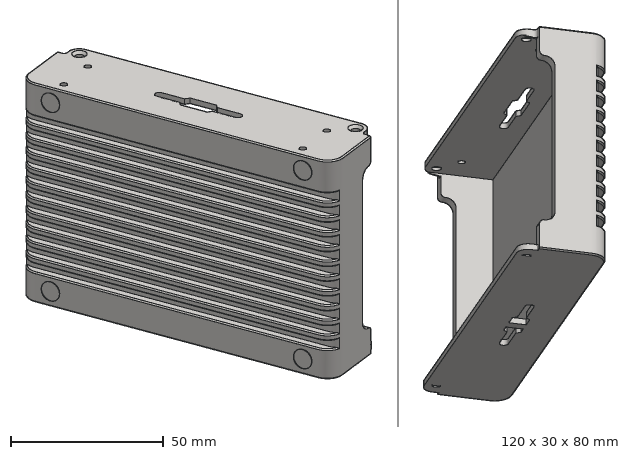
import cadquery as cq

WIDTH = 120.0
DEPTH = 30.0
HEIGHT = 80.0
EDGE_CHAMFER = 0.5
CORNER_RADIUS = 6.0

FRONT_WALL = 6.0
SIDE_WALL = 4.0
END_PLATE = 2.0
SHOULDER_Y = 23.8

LIP_RADIUS = 4.0
TOP_LIP_WIDTH = 113.3
TOP_LIP_ROOT_RADIUS = 1.2
TOP_LIP_ROOT_THICKNESS = 3.0
BOTTOM_LIP_WIDTH = 116.4

WINDOW_MARGIN = 10.5
WINDOW_FLOOR_Y = 18.5
WINDOW_INNER_RADIUS = 3.6
WINDOW_OUTER_RADIUS = 1.5

GROOVE_COUNT = 11
GROOVE_PITCH = 5.4
GROOVE_WIDTH = 3.0
GROOVE_DEPTH = 3.0
GROOVE_CENTRE_Z = -0.5
GROOVE_FLAT_INSET = 3.7
GROOVE_END_RADIUS = 5.4
FIN_CHAMFER = 0.5

FOOT_RADIUS = 3.5
FOOT_DEPTH = 0.2
FOOT_INSET_X = 11.9
FOOT_INSET_Z = 5.5

SCREW_INSET_X = 7.3
SCREW_Y = DEPTH - 3.8
SCREW_RADIUS = 1.5
SCREW_HEAD_RADIUS = 2.5
SCREW_FLAT_INSET = 7.0

PIN_RADIUS = 1.2
PIN_INSET_X = 14.4
REAR_PIN_Y = 19.7
FRONT_PIN_Y = 4.5
FRONT_PIN_DEPTH = 6.0
PIN_TIP_HEIGHT = 0.7

SLOT_Y = 14.2
SLOT_LENGTH = 33.0
SLOT_HEIGHT = 3.0
SLOT_WIDE_HEIGHT = 5.9
SLOT_WIDE_LENGTH = 10.1
SLOT_TAPER = 1.2
BRIDGE_WIDTH = 3.5
BRIDGE_X = 0.7

HALF_WIDTH = WIDTH / 2
HALF_HEIGHT = HEIGHT / 2
SIDES = (-1, 1)
MARGIN = 0.1


def block(x_range, y_range, z_range):
    """Box given by its limits along each axis."""
    limits = (x_range, y_range, z_range)
    size = [high - low for low, high in limits]
    corner = tuple(low for low, high in limits)
    return cq.Workplane("XY").box(*size, centered=False).translate(corner)


def make_body():
    """Block with rounded front corners and chamfered end edges."""
    body = block((-HALF_WIDTH, HALF_WIDTH), (0, SHOULDER_Y), (-HALF_HEIGHT, HALF_HEIGHT))
    body = body.edges("|Z and <Y").fillet(CORNER_RADIUS)
    outline = body.faces("<Z or >Z").edges("not >Y")
    return outline.chamfer(EDGE_CHAMFER)


def make_groove(z):
    """Material outside the groove floor, whose ends curve back to the sides."""
    z_range = (z - GROOVE_WIDTH / 2, z + GROOVE_WIDTH / 2)
    reach = HALF_WIDTH - GROOVE_FLAT_INSET + GROOVE_END_RADIUS
    back = GROOVE_DEPTH + GROOVE_END_RADIUS
    floor = block((-reach, reach), (GROOVE_DEPTH, DEPTH), z_range)
    floor = floor.edges("|Z and <Y").fillet(GROOVE_END_RADIUS)
    return block((-reach, reach), (-MARGIN, back), z_range).cut(floor)


def cut_grooves(body):
    """Cut the evenly spaced grooves and chamfer the front edges of the fins."""
    first = GROOVE_CENTRE_Z - GROOVE_PITCH * (GROOVE_COUNT - 1) / 2
    for i in range(GROOVE_COUNT):
        body = body.cut(make_groove(first + i * GROOVE_PITCH))
    half_band = GROOVE_PITCH * GROOVE_COUNT / 2
    front_edges = cq.selectors.BoxSelector(
        (-HALF_WIDTH - MARGIN, -MARGIN, GROOVE_CENTRE_Z - half_band),
        (HALF_WIDTH + MARGIN, GROOVE_DEPTH - MARGIN, GROOVE_CENTRE_Z + half_band),
    )
    fins = body.edges(front_edges).edges("not |Z")
    return fins.chamfer(FIN_CHAMFER)


def cut_cavity(body):
    """Hollow the body from the rear, leaving end plates of even thickness."""
    inner = HALF_WIDTH - SIDE_WALL
    half = HALF_HEIGHT - END_PLATE
    return body.cut(block((-inner, inner), (FRONT_WALL, DEPTH), (-half, half)))


def cut_windows(body):
    """Notch the rear edge of both side walls."""
    half = HALF_HEIGHT - WINDOW_MARGIN
    window = block((-HALF_WIDTH, HALF_WIDTH), (WINDOW_FLOOR_Y, SHOULDER_Y), (-half, half))
    window = window.edges("|X and <Y").fillet(WINDOW_INNER_RADIUS)
    body = body.cut(window)
    mouth = cq.selectors.BoxSelector(
        (-HALF_WIDTH - MARGIN, SHOULDER_Y - MARGIN, -half - MARGIN),
        (HALF_WIDTH + MARGIN, SHOULDER_Y + MARGIN, half + MARGIN),
    )
    return body.edges(mouth).edges("|X").fillet(WINDOW_OUTER_RADIUS)


def make_top_lip():
    """Rear lip of the top plate: tapered underside, filleted into the shoulders."""
    half = TOP_LIP_WIDTH / 2
    root = half + TOP_LIP_ROOT_RADIUS
    outline = (
        cq.Workplane("XY")
        .moveTo(-root, SHOULDER_Y)
        .radiusArc((-half, SHOULDER_Y + TOP_LIP_ROOT_RADIUS), -TOP_LIP_ROOT_RADIUS)
        .lineTo(-half, DEPTH - LIP_RADIUS)
        .radiusArc((-half + LIP_RADIUS, DEPTH), LIP_RADIUS)
        .lineTo(half - LIP_RADIUS, DEPTH)
        .radiusArc((half, DEPTH - LIP_RADIUS), LIP_RADIUS)
        .lineTo(half, SHOULDER_Y + TOP_LIP_ROOT_RADIUS)
        .radiusArc((root, SHOULDER_Y), -TOP_LIP_ROOT_RADIUS)
        .close()
        .extrude(HALF_HEIGHT)
    )
    taper = (
        cq.Workplane("YZ")
        .moveTo(SHOULDER_Y, HALF_HEIGHT)
        .lineTo(DEPTH, HALF_HEIGHT)
        .lineTo(DEPTH, HALF_HEIGHT - END_PLATE)
        .lineTo(SHOULDER_Y, HALF_HEIGHT - TOP_LIP_ROOT_THICKNESS)
        .close()
        .extrude(HALF_WIDTH, both=True)
    )
    return outline.intersect(taper)


def make_bottom_lip():
    half = BOTTOM_LIP_WIDTH / 2
    z_range = (-HALF_HEIGHT, -HALF_HEIGHT + END_PLATE)
    lip = block((-half, half), (SHOULDER_Y, DEPTH), z_range)
    return lip.edges("|Z and >Y").fillet(LIP_RADIUS)


def make_slot():
    """Long slot with a wider tapered middle, cutting both end plates."""
    wide = SLOT_WIDE_LENGTH / 2
    neck = wide + SLOT_TAPER
    middle = [
        (-neck, -SLOT_HEIGHT / 2),
        (-wide, -SLOT_WIDE_HEIGHT / 2),
        (wide, -SLOT_WIDE_HEIGHT / 2),
        (neck, -SLOT_HEIGHT / 2),
        (neck, SLOT_HEIGHT / 2),
        (wide, SLOT_WIDE_HEIGHT / 2),
        (-wide, SLOT_WIDE_HEIGHT / 2),
        (-neck, SLOT_HEIGHT / 2),
    ]
    plane = cq.Workplane("XY").center(0, SLOT_Y)
    slot = plane.slot2D(SLOT_LENGTH, SLOT_HEIGHT).extrude(HALF_HEIGHT, both=True)
    slot = slot.union(plane.polyline(middle).close().extrude(HALF_HEIGHT, both=True))
    bridge = block(
        (BRIDGE_X - BRIDGE_WIDTH / 2, BRIDGE_X + BRIDGE_WIDTH / 2),
        (SLOT_Y - SLOT_WIDE_HEIGHT, SLOT_Y + SLOT_WIDE_HEIGHT),
        (-HALF_HEIGHT, -HALF_HEIGHT + END_PLATE),
    )
    return slot.cut(bridge)


def make_screw_hole(side):
    """Countersunk hole through the top lip, D-shaped hole through the bottom lip."""
    x = side * (HALF_WIDTH - SCREW_INSET_X)
    bore = cq.Workplane("XY").center(x, SCREW_Y).circle(SCREW_RADIUS).extrude(HALF_HEIGHT, both=True)
    flat_x = side * (HALF_WIDTH - SCREW_FLAT_INSET)
    inward_x = flat_x - side * 2 * SCREW_RADIUS
    filled = block(
        (min(flat_x, inward_x), max(flat_x, inward_x)),
        (SHOULDER_Y, DEPTH),
        (-HALF_HEIGHT, 0),
    )
    head_depth = SCREW_HEAD_RADIUS - SCREW_RADIUS
    head = cq.Solid.makeCone(
        SCREW_RADIUS, SCREW_HEAD_RADIUS, head_depth, pnt=cq.Vector(x, SCREW_Y, HALF_HEIGHT - head_depth)
    )
    return bore.cut(filled).union(cq.Workplane(head))


def make_pin_holes(side):
    """Rear hole through the top plate and front blind hole with a conical tip."""
    x = side * (HALF_WIDTH - PIN_INSET_X)
    top = cq.Workplane("XY").workplane(offset=HALF_HEIGHT)
    rear = top.center(x, REAR_PIN_Y).circle(PIN_RADIUS).extrude(-END_PLATE)
    front = top.center(x, FRONT_PIN_Y).circle(PIN_RADIUS).extrude(-FRONT_PIN_DEPTH)
    tip_start = cq.Vector(x, FRONT_PIN_Y, HALF_HEIGHT - FRONT_PIN_DEPTH)
    tip = cq.Solid.makeCone(PIN_RADIUS, 0, PIN_TIP_HEIGHT, pnt=tip_start, dir=cq.Vector(0, 0, -1))
    return rear.union(front).union(cq.Workplane(tip))


def make_foot_recesses():
    spacing_x = WIDTH - 2 * FOOT_INSET_X
    spacing_z = HEIGHT - 2 * FOOT_INSET_Z
    feet = cq.Workplane("XZ").rect(spacing_x, spacing_z, forConstruction=True).vertices()
    return feet.circle(FOOT_RADIUS).extrude(-FOOT_DEPTH)


result = cut_windows(cut_grooves(make_body()))
result = result.union(make_top_lip()).union(make_bottom_lip())
result = cut_cavity(result)
result = result.cut(make_slot()).cut(make_foot_recesses())
for hole_side in SIDES:
    result = result.cut(make_screw_hole(hole_side))
    result = result.cut(make_pin_holes(hole_side))